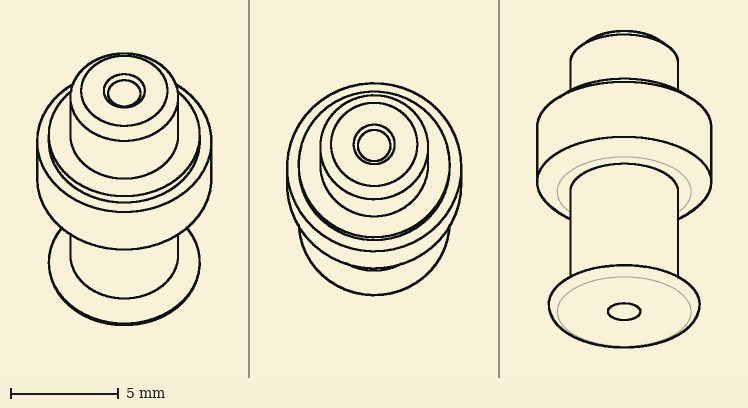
import cadquery as cq
import math

LIP_TOP = 0.4
FLARE_TOP = 1.0
COLLAR_BOTTOM = 6.5
COLLAR_TOP = 10.0
STEP_TOP = 10.5
TOTAL_HEIGHT = 14.0

STEM_RADIUS = 5.0 / 2
FLANGE_RADIUS = 7.0 / 2
COLLAR_RADIUS = 8.08 / 2
BORE_RADIUS = 1.5 / 2

COLLAR_ROUND_HEIGHT = 0.52
COLLAR_ROUND_RADIUS = 1.1
TIP_CHAMFER = 0.5
BORE_CHAMFER = 0.2


def make_body():
    """Revolve the stepped outer profile about Z."""
    collar_side_bottom = COLLAR_BOTTOM + COLLAR_ROUND_HEIGHT

    round_center_height = COLLAR_BOTTOM + COLLAR_ROUND_RADIUS
    round_angle = math.acos(1 - COLLAR_ROUND_HEIGHT / COLLAR_ROUND_RADIUS)
    underside_radius = COLLAR_RADIUS - COLLAR_ROUND_RADIUS * math.sin(round_angle)
    round_middle = (
        underside_radius + COLLAR_ROUND_RADIUS * math.sin(round_angle / 2),
        round_center_height - COLLAR_ROUND_RADIUS * math.cos(round_angle / 2),
    )

    lip_inset = LIP_TOP * (1 - math.sqrt(0.5))
    lip_middle = (FLANGE_RADIUS - lip_inset, lip_inset)

    return (
        cq.Workplane("XZ")
        .moveTo(0, 0)
        .lineTo(FLANGE_RADIUS - LIP_TOP, 0)
        .threePointArc(lip_middle, (FLANGE_RADIUS, LIP_TOP))
        .lineTo(STEM_RADIUS, FLARE_TOP)
        .lineTo(STEM_RADIUS, COLLAR_BOTTOM)
        .lineTo(underside_radius, COLLAR_BOTTOM)
        .threePointArc(round_middle, (COLLAR_RADIUS, collar_side_bottom))
        .lineTo(COLLAR_RADIUS, COLLAR_TOP)
        .lineTo(FLANGE_RADIUS, COLLAR_TOP)
        .lineTo(FLANGE_RADIUS, STEP_TOP)
        .lineTo(STEM_RADIUS, STEP_TOP)
        .lineTo(STEM_RADIUS, TOTAL_HEIGHT - TIP_CHAMFER)
        .lineTo(STEM_RADIUS - TIP_CHAMFER, TOTAL_HEIGHT)
        .lineTo(0, TOTAL_HEIGHT)
        .close()
        .revolve(360, (0, 0, 0), (0, 1, 0))
    )


def make_bore():
    """Through bore, widened by a chamfer at the top."""
    mouth_radius = BORE_RADIUS + BORE_CHAMFER
    return (
        cq.Workplane("XZ")
        .moveTo(0, 0)
        .lineTo(BORE_RADIUS, 0)
        .lineTo(BORE_RADIUS, TOTAL_HEIGHT - BORE_CHAMFER)
        .lineTo(mouth_radius, TOTAL_HEIGHT)
        .lineTo(0, TOTAL_HEIGHT)
        .close()
        .revolve(360, (0, 0, 0), (0, 1, 0))
    )


result = make_body().cut(make_bore())